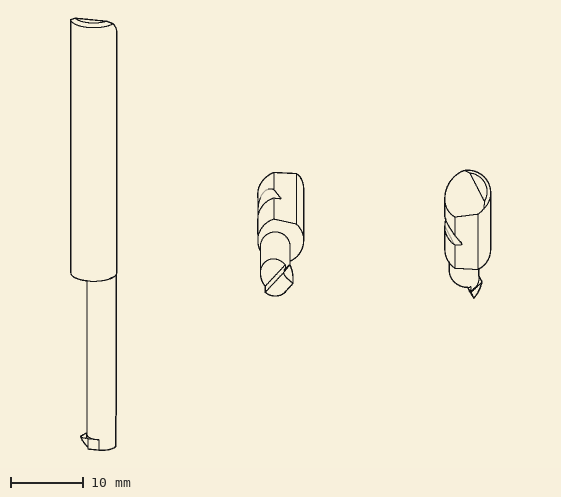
import cadquery as cq

shank_diameter = 6.35
shank_length = 38.1
shank_radius = shank_diameter / 2
end_chamfer = 0.5

neck_diameter = 4.1
neck_length = 25.4
neck_radius = neck_diameter / 2
neck_center_x = shank_radius - neck_radius
overall_length = neck_length + shank_length

flat_angle = 150
flat_offset = 2.75

top_slope_start_y = -1.45

notch_bottom_z = 40.7
notch_height = 8.8
notch_depth = 1.27
notch_floor_radius = 0.9

rake_plane_y = 0.0
rake_length = 4.4

head_height = 1.55
head_left_x = -0.32
head_right_x = 1.3
head_front_y = -2.0
tip_x = -1.87
tip_z = 0.95
tip_flat = 0.15
relief_radius = 5.0
flank_slope = 0.65
flank_clearance = 0.2
undercut_start_x = -0.7


def make_shank():
    shank = (
        cq.Workplane("XY", origin=(0, 0, neck_length))
        .circle(shank_radius)
        .extrude(shank_length)
        .faces(">Z")
        .chamfer(end_chamfer)
    )
    flat = (
        cq.Workplane("XY", origin=(0, 0, neck_length))
        .transformed(rotate=(0, 0, flat_angle))
        .center(flat_offset + shank_radius / 2, 0)
        .rect(shank_radius, shank_diameter)
        .extrude(shank_length)
    )
    return shank.cut(flat)


def make_profile_cut(outline):
    """Extrude a closed YZ outline along X, right across the part."""
    return outline.extrude(shank_diameter, both=True)


def make_top_slope():
    run = shank_diameter
    outline = (
        cq.Workplane("YZ")
        .moveTo(top_slope_start_y, overall_length)
        .lineTo(top_slope_start_y + run, overall_length)
        .lineTo(top_slope_start_y + run, overall_length - run)
        .close()
    )
    return make_profile_cut(outline)


def make_notch():
    floor_y = shank_radius - notch_depth
    outline = (
        cq.Workplane("YZ")
        .moveTo(shank_radius, notch_bottom_z)
        .lineTo(floor_y + notch_floor_radius, notch_bottom_z)
        .radiusArc((floor_y, notch_bottom_z + notch_floor_radius), notch_floor_radius)
        .lineTo(shank_radius, notch_bottom_z + notch_height)
        .close()
    )
    return make_profile_cut(outline)


def make_neck():
    neck = cq.Workplane("XY").center(neck_center_x, 0).circle(neck_radius).extrude(neck_length)
    far_y = shank_diameter
    outline = (
        cq.Workplane("YZ")
        .moveTo(rake_plane_y, 0)
        .lineTo(far_y, 0)
        .lineTo(far_y, rake_length + far_y - rake_plane_y)
        .lineTo(rake_plane_y, rake_length)
        .close()
    )
    return neck.cut(make_profile_cut(outline))


def make_head_block(front_y):
    """Block with the width and height of the head, from the rake plane to front_y."""
    return (
        cq.Workplane("XY", origin=(head_left_x, front_y, 0))
        .box(head_right_x - head_left_x, rake_plane_y - front_y, head_height, centered=False)
    )


def make_tooth():
    tooth = (
        cq.Workplane("XY")
        .moveTo(neck_center_x, rake_plane_y)
        .lineTo(tip_x, rake_plane_y)
        .radiusArc((head_left_x, head_front_y), -relief_radius)
        .lineTo(neck_center_x, rake_plane_y)
        .close()
        .extrude(head_height)
    )
    for side in (1, -1):
        flank = cq.Plane(
            origin=(tip_x, rake_plane_y, tip_z + side * tip_flat / 2),
            xDir=(1, 0, side * flank_slope),
            normal=(-flank_slope, -flank_clearance, side),
        )
        tooth = tooth.cut(cq.Workplane(flank).rect(shank_diameter, shank_diameter).extrude(head_height))
    return tooth


def make_undercut():
    """Room for the tooth beside the head block, with a 45-degree relief of the neck above it."""
    run = undercut_start_x - tip_x
    return (
        cq.Workplane("XZ")
        .moveTo(head_left_x, 0)
        .lineTo(head_left_x, head_height)
        .lineTo(undercut_start_x, head_height)
        .lineTo(tip_x, head_height + run)
        .lineTo(tip_x, 0)
        .close()
        .extrude(neck_diameter)
    )


def make_blade():
    neck = make_neck().cut(make_undercut())
    in_front_of_head = make_head_block(-neck_diameter).cut(make_head_block(head_front_y))
    return neck.cut(in_front_of_head).union(make_head_block(head_front_y)).union(make_tooth())


shank = make_shank().cut(make_top_slope()).cut(make_notch())
result = shank.union(make_blade())